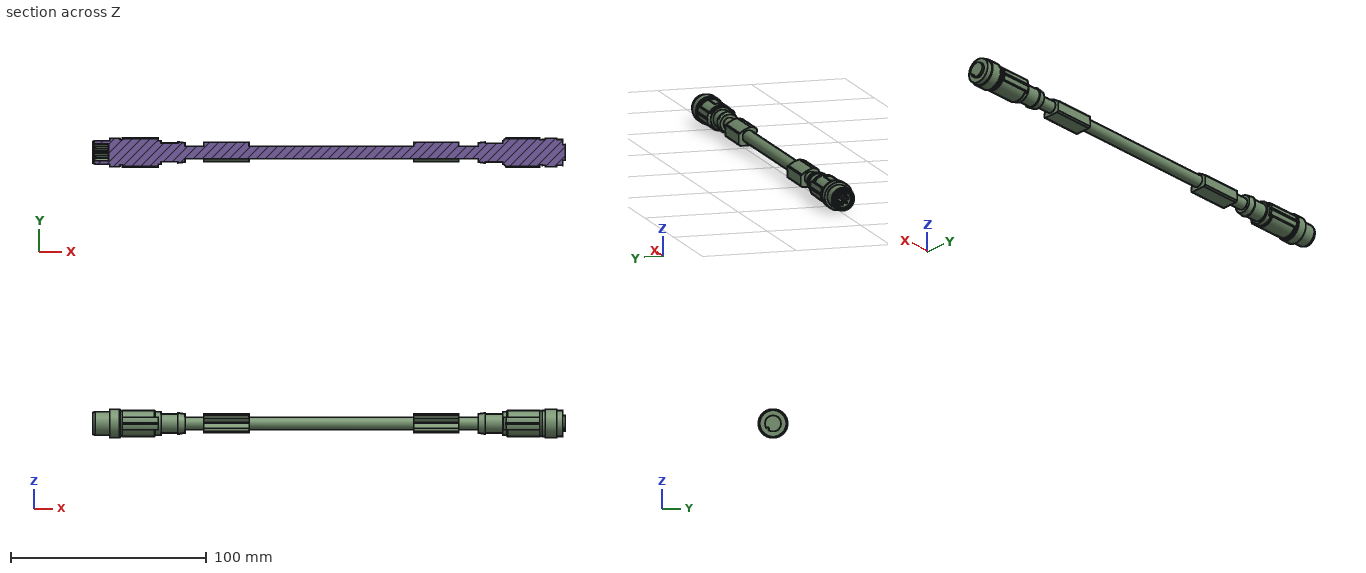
import cadquery as cq
import math


total_length = 241.3
male_end = -total_length / 2
female_end = total_length / 2

cable_radius = 3.25
relief_radius = 4.9
relief_cone_radius = 5.5
relief_cone_length = 3.7

body_radius = 6.75
body_chamfer = 0.6
grip_radius = 7.5
grip_half_height = 3.25
grip_groove_width = 0.7
grip_groove_depth = 0.3
grip_chamfer = 1.8
collar_radius = 6.1
neck_radius = 6.5

pad_length = 11.2
pad_width = 3.9
pad_top = body_radius + 0.1

nut_radius = 14.77 / 2
nut_edge = 0.4

nose_radius = 6.05
nose_chamfer_length = 1.2
nose_chamfer_height = 0.5
male_nut_start = 8.6
male_nut_end = 14.0
male_body_start = 15.2
male_body_end = 32.0
male_grip_end = 33.5
male_collar_end = 35.0
male_relief_end = 47.2
male_pad_centre = 22.1

recess_radius = 4.2
recess_depth = 8.0
mouth_radius = 5.0
mouth_depth = 0.8
pin_radius = 0.5
pin_length = 6.5
pin_circle_radius = 2.75
outer_pin_count = 7
key_width = 1.2
key_height = 0.9
male_key_angle = 45

insert_radius = 4.1
insert_length = 1.3
keyway_width = 1.3
keyway_depth = 0.9
keyway_angle = 225
rim_radius = 6.75
female_nut_start = 4.3
female_nut_end = 10.3
flange_end = 11.7
female_body_start = 13.0
female_body_end = 30.0
female_grip_end = 32.0
female_collar_end = female_grip_end
female_relief_end = 44.5
female_pad_centre = 20.0

sleeve_length = 23.2
male_sleeve_start = 56.7
female_sleeve_start = 54.3
sleeve_bottom = -4.7
sleeve_foot = -4.0
sleeve_foot_half_width = 4.3
sleeve_front = -4.85
sleeve_back = 5.3
sleeve_crest = (-1.1, 4.85)
sleeve_front_brow = (-2.7, 4.6)
sleeve_front_shoulder = (-4.2, 4.0)
sleeve_back_brow = (2.0, 3.75)
sleeve_back_shoulder = (4.6, 1.9)
sleeve_back_top = 1.7
slot_upper_lip = (-4.7, 2.55)
slot_root = (-3.1, 0.4)
slot_lower_lip = (sleeve_front, -2.45)


def cylinder(start, end, radius):
    """Cylinder on the cable axis between two X positions."""
    return cq.Workplane("YZ", origin=(start, 0, 0)).circle(radius).extrude(end - start)


def box_between(start, end, width, height, y_centre=0, z_centre=0):
    """Box between two X positions, with its section centred on (y_centre, z_centre)."""
    box = cq.Workplane("XY").box(end - start, width, height)
    return box.translate(((start + end) / 2, y_centre, z_centre))


def grip_body(body_start, body_end, grip_start, grip_end, pad_centre, cable_side):
    """Round body with a raised grip on each side and a flat label pad on top."""
    body = cylinder(body_start, body_end, body_radius)
    body = body.faces(cable_side).chamfer(body_chamfer)

    grip = cylinder(grip_start, grip_end, grip_radius)
    if cable_side == "<X":
        grip = grip.faces(cable_side).chamfer(grip_chamfer)
    grip = grip.intersect(box_between(grip_start, grip_end, 2 * grip_radius, 2 * grip_half_height))
    for side in (-1, 1):
        groove_y = side * grip_radius
        grip = grip.cut(
            box_between(grip_start, grip_end, 2 * grip_groove_depth, grip_groove_width, groove_y)
        )

    pad = box_between(
        pad_centre - pad_length / 2,
        pad_centre + pad_length / 2,
        pad_width,
        pad_top,
        z_centre=pad_top / 2,
    )
    return body.union(grip).union(pad)


def strain_relief(start, length):
    """Tail running along +X that steps up near its end into a cone tapering towards the cable."""
    end = start + length
    cone_start = end - relief_cone_length
    cone_profile = (
        cq.Workplane("XY")
        .moveTo(cone_start, 0)
        .lineTo(cone_start, relief_cone_radius)
        .lineTo(end, relief_radius)
        .lineTo(end, 0)
        .close()
    )
    cone = cone_profile.revolve(360, (0, 0, 0), (1, 0, 0))
    return cylinder(start, cone_start, relief_radius).union(cone)


def male_contacts():
    """Seven pins around a centre pin, and the coding key on the recess wall."""
    floor_x = male_end + recess_depth
    pin_tip_x = floor_x - pin_length
    contacts = cylinder(pin_tip_x, floor_x, pin_radius)
    pin_step = 360 / outer_pin_count
    for index in range(outer_pin_count):
        angle = math.radians(male_key_angle + (index + 0.5) * pin_step)
        pin = cylinder(pin_tip_x, floor_x, pin_radius)
        pin_y = pin_circle_radius * math.cos(angle)
        pin_z = pin_circle_radius * math.sin(angle)
        contacts = contacts.union(pin.translate((0, pin_y, pin_z)))

    key = box_between(pin_tip_x, floor_x, 2 * key_height, key_width, recess_radius)
    key = key.rotate((0, 0, 0), (1, 0, 0), male_key_angle)
    return contacts.union(key)


def male_plug():
    nose = cylinder(male_end, male_end + male_nut_start, nose_radius)
    nose = nose.faces("<X").edges().chamfer(nose_chamfer_length, nose_chamfer_height)
    nose = nose.cut(cylinder(male_end, male_end + recess_depth, recess_radius))
    nose = nose.cut(cylinder(male_end, male_end + mouth_depth, mouth_radius))
    nut = cylinder(male_end + male_nut_start, male_end + male_nut_end, nut_radius)
    nut = nut.faces(">X").chamfer(nut_edge)
    neck = cylinder(male_end + male_nut_end, male_end + male_body_start, neck_radius)
    body = grip_body(
        male_end + male_body_start,
        male_end + male_body_end,
        male_end + male_body_start,
        male_end + male_grip_end,
        male_end + male_pad_centre,
        cable_side=">X",
    )
    collar = cylinder(male_end + male_body_end, male_end + male_collar_end, collar_radius)
    relief = strain_relief(male_end + male_collar_end, male_relief_end - male_collar_end)
    return nose.union(nut).union(neck).union(body).union(collar).union(relief).union(male_contacts())


def female_socket():
    insert = cylinder(female_end - insert_length, female_end, insert_radius)
    keyway = box_between(
        female_end - insert_length, female_end, 2 * keyway_depth, keyway_width, insert_radius
    )
    insert = insert.cut(keyway.rotate((0, 0, 0), (1, 0, 0), keyway_angle))
    rim = cylinder(female_end - female_nut_start, female_end - insert_length, rim_radius)
    nut = cylinder(female_end - female_nut_end, female_end - female_nut_start, nut_radius)
    flange = cylinder(female_end - flange_end, female_end - female_nut_end, body_radius)
    neck = cylinder(female_end - female_body_start, female_end - flange_end, neck_radius)
    body = grip_body(
        female_end - female_body_end,
        female_end - female_body_start,
        female_end - female_grip_end,
        female_end - female_body_start,
        female_end - female_pad_centre,
        cable_side="<X",
    )
    collar = cylinder(female_end - female_collar_end, female_end - female_body_end, collar_radius)
    relief = strain_relief(-female_end + female_collar_end, female_relief_end - female_collar_end)
    relief = relief.rotate((0, 0, 0), (0, 0, 1), 180)
    return insert.union(rim).union(nut).union(flange).union(neck).union(body).union(collar).union(relief)


def marker_sleeve(start):
    """Label carrier clipped round the cable, with a V-shaped slot along its -Y side."""
    section = (
        cq.Workplane("YZ", origin=(start, 0, 0))
        .moveTo(*sleeve_crest)
        .threePointArc(sleeve_front_brow, sleeve_front_shoulder)
        .lineTo(*slot_upper_lip)
        .lineTo(*slot_root)
        .lineTo(*slot_lower_lip)
        .lineTo(sleeve_front, sleeve_foot)
        .lineTo(-sleeve_foot_half_width, sleeve_bottom)
        .lineTo(sleeve_foot_half_width, sleeve_bottom)
        .lineTo(sleeve_back, sleeve_foot)
        .lineTo(sleeve_back, sleeve_back_top)
        .lineTo(*sleeve_back_shoulder)
        .threePointArc(sleeve_back_brow, sleeve_crest)
        .close()
    )
    return section.extrude(sleeve_length)


cable = cylinder(male_end + male_collar_end, female_end - female_collar_end, cable_radius)
result = cable.union(male_plug()).union(female_socket())
for sleeve_start in (male_end + male_sleeve_start, female_end - female_sleeve_start - sleeve_length):
    result = result.union(marker_sleeve(sleeve_start))